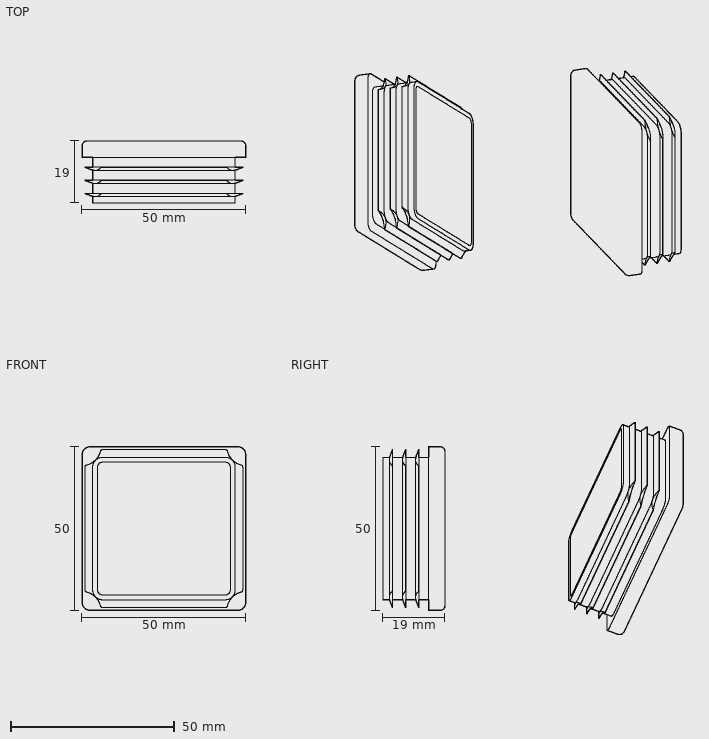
import cadquery as cq
import math

flange_size = 50.0
flange_thickness = 5.0
flange_corner_radius = 2.5
flange_edge_radius = 1.5

total_depth = 19.0
plug_size = 43.5
plug_corner_radius = 3.0
wall_thickness = 1.5
floor_thickness = flange_thickness
floor_edge_radius = 1.0

fin_count = 3
fin_pitch = 4.0
first_fin_offset = 3.0
fin_reach = 2.3
fin_thickness = 1.0
fin_tip_thickness = 0.1
fin_notch_radius = 5.8
fin_rounding_radius = 0.5

back_y = total_depth / 2
flange_front_y = back_y - flange_thickness
open_end_y = -total_depth / 2


def rounded_block(size, corner_radius, y_back, depth):
    """Square block with rounded corners, running from y_back towards -Y."""
    return (
        cq.Workplane("XZ", origin=(0, y_back, 0))
        .rect(size, size)
        .extrude(depth)
        .edges("|Y")
        .fillet(corner_radius)
    )


def make_flange():
    flange = rounded_block(flange_size, flange_corner_radius, back_y, flange_thickness)
    return flange.faces(">Y").edges().fillet(flange_edge_radius)


def make_plug():
    return rounded_block(plug_size, plug_corner_radius, flange_front_y, flange_front_y - open_end_y)


def make_cavity():
    floor_y = back_y - floor_thickness
    cavity = rounded_block(
        plug_size - 2 * wall_thickness,
        plug_corner_radius - wall_thickness,
        floor_y,
        floor_y - open_end_y,
    )
    return cavity.faces(">Y").edges().fillet(floor_edge_radius)


def make_corner_notch(y_back):
    """Cutter that trims a fin at the +X +Z corner of the plug."""
    corner = flange_size / 2
    tip = plug_size / 2 + fin_reach

    centre_distance = fin_notch_radius + fin_rounding_radius
    turn = math.acos((corner - tip + fin_rounding_radius) / centre_distance)
    lip_end = corner - centre_distance * math.sin(turn)

    lip_point = (lip_end, tip)
    rounding_middle = (
        lip_end + fin_rounding_radius * math.sin(turn / 2),
        tip - fin_rounding_radius + fin_rounding_radius * math.cos(turn / 2),
    )
    notch_start = (
        corner - fin_notch_radius * math.sin(turn),
        corner - fin_notch_radius * math.cos(turn),
    )
    notch_middle = corner - fin_notch_radius * math.sqrt(0.5)

    return (
        cq.Workplane("XZ", origin=(0, y_back, 0))
        .moveTo(*lip_point)
        .threePointArc(rounding_middle, notch_start)
        .threePointArc((notch_middle, notch_middle), notch_start[::-1])
        .threePointArc(rounding_middle[::-1], lip_point[::-1])
        .lineTo(corner, lip_end)
        .lineTo(corner, corner)
        .lineTo(lip_end, corner)
        .close()
        .extrude(fin_thickness)
    )


def make_fin(y_back):
    """Lip with a flat side towards the flange and a sloped side towards the open end."""
    tip_size = plug_size + 2 * fin_reach
    tip_corner_radius = plug_corner_radius + fin_reach
    slope_depth = fin_thickness - fin_tip_thickness
    slope_angle = math.degrees(math.atan2(fin_reach, slope_depth))

    rim = rounded_block(tip_size, tip_corner_radius, y_back, fin_tip_thickness)
    slope = (
        rim.faces("<Y")
        .wires()
        .toPending()
        .extrude(slope_depth, taper=slope_angle, combine=False)
    )
    fin = rim.union(slope)

    notch = make_corner_notch(y_back)
    for angle in (0, 90, 180, 270):
        fin = fin.cut(notch.rotate((0, 0, 0), (0, 1, 0), angle))
    return fin


result = make_flange().union(make_plug())
for index in range(fin_count):
    result = result.union(make_fin(flange_front_y - first_fin_offset - index * fin_pitch))
result = result.cut(make_cavity())